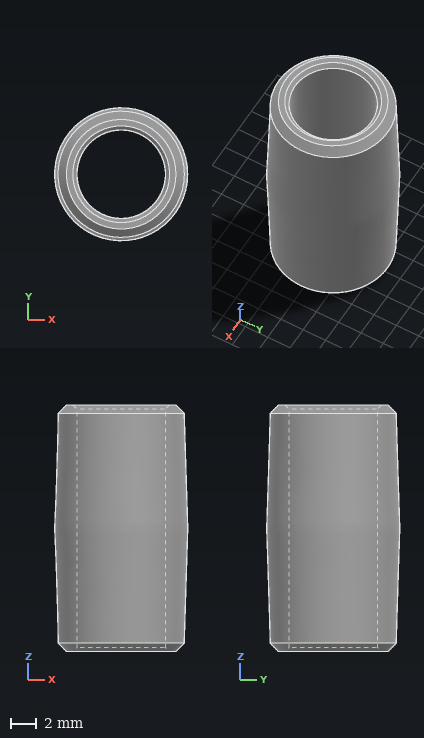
import cadquery as cq

length = 19.05
middle_diameter = 10.29
bore_diameter = 6.82

band_height = 0.57
taper_end_diameter = 9.75
end_face_diameter = 8.45
end_chamfer_height = 0.65

bore_chamfer = 0.32

half_length = length / 2
half_band = band_height / 2
taper_end_height = half_length - end_chamfer_height


def make_body():
    """Revolve the outer half profile (radius, height) about the Z axis."""
    return (
        cq.Workplane("XZ")
        .moveTo(0, -half_length)
        .lineTo(end_face_diameter / 2, -half_length)
        .lineTo(taper_end_diameter / 2, -taper_end_height)
        .lineTo(middle_diameter / 2, -half_band)
        .lineTo(middle_diameter / 2, half_band)
        .lineTo(taper_end_diameter / 2, taper_end_height)
        .lineTo(end_face_diameter / 2, half_length)
        .lineTo(0, half_length)
        .close()
        .revolve(360, (0, 0, 0), (0, 1, 0))
    )


def cut_bore(body):
    """Cut the through bore and chamfer its mouth at both ends."""
    bored = body.faces(">Z").workplane().hole(bore_diameter)
    mouth_edges = cq.selectors.RadiusNthSelector(0)
    return bored.faces("|Z").edges(mouth_edges).chamfer(bore_chamfer)


result = cut_bore(make_body())